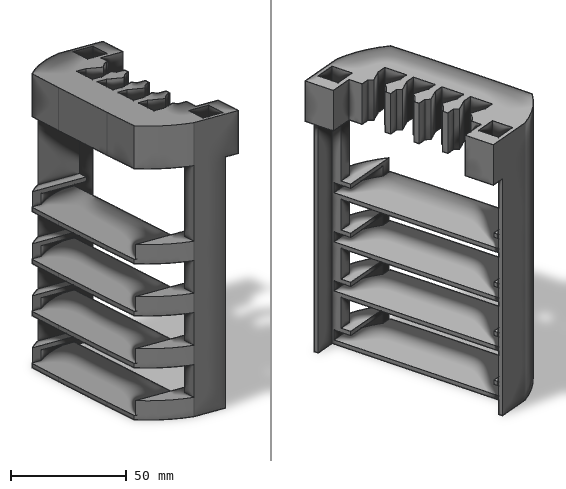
import cadquery as cq

width = 99.2
depth = 47.0
height = 136.8
half_width = width / 2
wall = 2.0

front_flat_half = 17.8
front_corner_x = 37.3
front_corner_y = 0.3
side_arc_mid = (45.0, 11.1)
side_arc_back_y = 23.3

head_thick = 20.0
ear_inner_x = 34.7
head_back_y = 35.2
socket_size = 10.5
socket_outer_x = half_width - wall
post_back_y = 40.2
socket_front_y = post_back_y - socket_size

post_inner_x = 42.8

shelf_count = 4
shelf_pitch = 24.2
shelf_thick = wall
rail_inner_x = 37.8
rail_height = 9.0
lip_thick = wall
groove_wall = 3.0

slot_pitch = 15.0
slot_front_y = 17.5
slot_taper_y = 22.5
slot_half_width = 5.7
neck_left = (-2.7, 29.8)
neck_right = (3.3, 29.3)
mouth_left = (-6.8, 34.3)
mouth_arc_mid = (-5.5, 32.1)
mouth_right = (5.3, 30.8)


def outline():
    """Full plan outline: bowed front, arc-shaped sides and a straight back."""
    mid_x, mid_y = side_arc_mid
    return (
        cq.Workplane("XY")
        .moveTo(-front_flat_half, 0)
        .lineTo(front_flat_half, 0)
        .lineTo(front_corner_x, front_corner_y)
        .threePointArc((mid_x, mid_y), (half_width, side_arc_back_y))
        .lineTo(half_width, depth)
        .lineTo(-half_width, depth)
        .lineTo(-half_width, side_arc_back_y)
        .threePointArc((-mid_x, mid_y), (-front_corner_x, front_corner_y))
        .close()
    )


def block(x_min, x_max, y_min, y_max, z_min, z_max):
    """Box given by its limits along each axis."""
    return cq.Workplane("XY").box(
        x_max - x_min, y_max - y_min, z_max - z_min, centered=False
    ).translate((x_min, y_min, z_min))


def head_slot(center_x):
    """Necked slot, open at the back, through the full head thickness."""
    return (
        cq.Workplane("XY")
        .moveTo(-slot_half_width, slot_front_y)
        .lineTo(slot_half_width, slot_front_y)
        .lineTo(slot_half_width, slot_taper_y)
        .lineTo(*neck_right)
        .lineTo(*mouth_right)
        .lineTo(mouth_right[0], head_back_y)
        .lineTo(mouth_left[0], head_back_y)
        .lineTo(*mouth_left)
        .threePointArc(mouth_arc_mid, neck_left)
        .lineTo(-slot_half_width, slot_taper_y)
        .close()
        .extrude(head_thick)
        .translate((center_x, 0, height - head_thick))
    )


def head():
    """Top plate with the space between its ears and the slots removed."""
    plate = outline().extrude(head_thick).translate((0, 0, height - head_thick))
    plate = plate.cut(block(-ear_inner_x, ear_inner_x, head_back_y, depth, 0, height))
    for index in range(shelf_count):
        center_x = (index - (shelf_count - 1) / 2) * slot_pitch
        plate = plate.cut(head_slot(center_x))
    return plate


def posts():
    """Left post follows the curved side; the right one starts behind the curve."""
    body = outline().extrude(height)
    left = body.intersect(block(-half_width, -post_inner_x, 0, post_back_y, 0, height))
    right = block(post_inner_x, half_width, side_arc_back_y, post_back_y, 0, height)
    return left.union(right)


def shelf(base_z):
    """Shelf plate and its two end rails, before grooving."""
    plate = outline().extrude(rail_height)
    plate = plate.intersect(block(-half_width, half_width, 0, socket_front_y, 0, rail_height))
    plate = plate.cut(
        block(-rail_inner_x, rail_inner_x, 0, socket_front_y, shelf_thick, rail_height)
    )
    return plate.translate((0, 0, base_z))


def groove(base_z):
    """Space under the rail lips, a constant wall inside the outline."""
    groove_height = rail_height - shelf_thick - lip_thick
    space = outline().offset2D(-groove_wall).extrude(groove_height)
    space = space.intersect(block(-half_width, half_width, 0, socket_front_y, 0, groove_height))
    return space.translate((0, 0, base_z + shelf_thick))


result = head().union(posts())
shelf_levels = [index * shelf_pitch for index in range(shelf_count)]
for level in shelf_levels:
    result = result.union(shelf(level))
for level in shelf_levels:
    result = result.cut(groove(level))

socket_inner_x = socket_outer_x - socket_size
for x_min in (-socket_outer_x, socket_inner_x):
    result = result.cut(
        block(x_min, x_min + socket_size, socket_front_y, post_back_y, 0, height)
    )